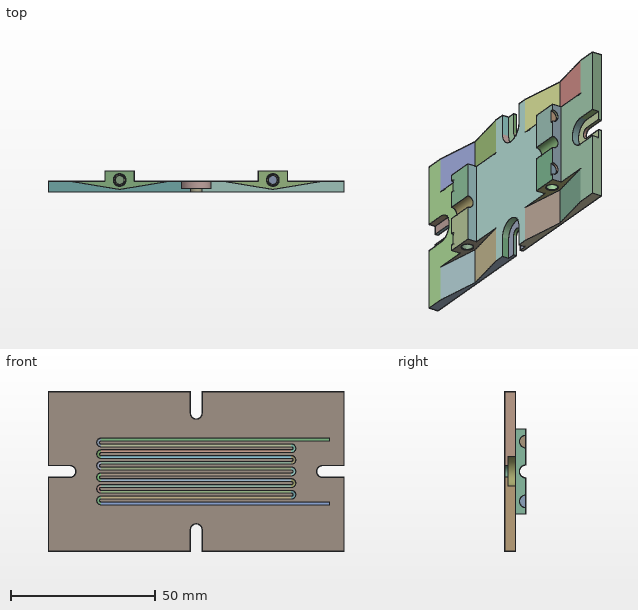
import cadquery as cq

length = 102.5
height = 55.4
plate_thickness = 3.8
total_depth = 7.4

slot_diameter = 4.0
slot_recess_diameter = 10.2
slot_centre_inset = 7.5
slot_recess_depth = 2.6

channel_width = 1.0
channel_pitch = 2 * channel_width
channel_rows = 12
channel_half_run = 33.0
tail_end_x = 46.1

manifold_x = 26.5
manifold_width = 10.2
manifold_height = 29.5

relief_half_width = 17.4
relief_depth = 2.9

port_diameter = 3.1
port_depth = 6.2
port_socket_diameter = 4.0
port_socket_depth = 4.1
port_mouth_diameter = 4.4
port_y = 4.2

notch_diameter = 4.4
notch_spacing = 10.4
blind_notch_depth = 1.0


def slot_cutter(diameter, y_start, depth):
    """Round-ended cutters running in from the middle of all four edges."""
    cutters = cq.Workplane("XY")
    for angle in (0, 90, 180, 270):
        half_size = length / 2 if angle % 180 == 0 else height / 2
        centre = half_size - slot_centre_inset
        straight = (
            cq.Workplane("XY")
            .box(slot_centre_inset, depth, diameter, centered=(False, False, True))
            .translate((centre, y_start, 0))
        )
        round_end = (
            cq.Workplane("XZ", origin=(centre, y_start, 0)).circle(diameter / 2).extrude(-depth)
        )
        cutters = cutters.add(straight.union(round_end).rotate((0, 0, 0), (0, 1, 0), angle))
    return cutters.combine()


def row_z(row):
    """Height of a channel row, counted from the top."""
    return ((channel_rows - 1) / 2 - row) * channel_pitch


def straight_channel(x_start, x_end, z):
    """Round cutter centred on the front face, leaving a half-round groove."""
    return (
        cq.Workplane("YZ", origin=(x_start, 0, z)).circle(channel_width / 2).extrude(x_end - x_start)
    )


def channel_bend(side, z_middle):
    """Half-turn joining two rows on the left (side = -1) or right (side = 1)."""
    bend_radius = channel_pitch / 2
    centre = cq.Vector(0, 0, 0)
    ring = cq.Workplane(
        cq.Solid.makeTorus(bend_radius, channel_width / 2, centre, cq.Vector(0, 1, 0))
    )
    outer_half = (
        cq.Workplane("XY")
        .box(channel_pitch, channel_width, 2 * channel_pitch)
        .translate((side * channel_pitch / 2, 0, 0))
    )
    return ring.intersect(outer_half).translate((side * channel_half_run, 0, z_middle))


def notch(x_start, x_end, z):
    """Round cutter along X, centred on the back of the blocks."""
    return (
        cq.Workplane("YZ", origin=(x_start, total_depth, z))
        .circle(notch_diameter / 2)
        .extrude(x_end - x_start)
    )


def relief(x):
    """V-shaped cutter in the plate back, from the top of a block to the plate edge."""
    return (
        cq.Workplane("XY", origin=(x, plate_thickness, manifold_height / 2))
        .polyline([(-relief_half_width, 0), (relief_half_width, 0), (0, -relief_depth)])
        .close()
        .extrude((height - manifold_height) / 2)
    )


def manifold_block(x):
    block_depth = total_depth - plate_thickness
    return (
        cq.Workplane("XY")
        .box(manifold_width, block_depth, manifold_height, centered=(True, False, True))
        .translate((x, plate_thickness, 0))
    )


def port(x):
    """Blind hole into the top of a block, with a wider socket and a 45 degree chamfered mouth."""
    block_top = cq.Workplane("XY", origin=(x, port_y, manifold_height / 2))
    bore = block_top.circle(port_diameter / 2).extrude(-port_depth)
    socket = block_top.circle(port_socket_diameter / 2).extrude(-port_socket_depth)
    mouth = cq.Workplane(
        cq.Solid.makeCone(
            port_mouth_diameter / 2,
            port_socket_diameter / 2,
            (port_mouth_diameter - port_socket_diameter) / 2,
            cq.Vector(x, port_y, manifold_height / 2),
            cq.Vector(0, 0, -1),
        )
    )
    return bore.union(socket).union(mouth)


body = cq.Workplane("XY").box(length, plate_thickness, height, centered=(True, False, True))

for block_x in (-manifold_x, manifold_x):
    top_relief = relief(block_x)
    top_port = port(block_x)
    body = body.cut(top_relief).cut(top_relief.mirror("XY"))
    body = body.union(manifold_block(block_x))
    body = body.cut(top_port).cut(top_port.mirror("XY"))

block_outer_x = manifold_x + manifold_width / 2
body = body.cut(notch(-block_outer_x, block_outer_x, 0))
for z in (-notch_spacing, notch_spacing):
    body = body.cut(notch(-block_outer_x, -block_outer_x + blind_notch_depth, z))
    body = body.cut(notch(block_outer_x - blind_notch_depth, block_outer_x, z))

body = body.cut(slot_cutter(slot_diameter, 0, plate_thickness))
body = body.cut(
    slot_cutter(slot_recess_diameter, plate_thickness - slot_recess_depth, slot_recess_depth)
)

for row in range(channel_rows):
    is_tail = row in (0, channel_rows - 1)
    x_end = tail_end_x if is_tail else channel_half_run
    body = body.cut(straight_channel(-channel_half_run, x_end, row_z(row)))
for row in range(channel_rows - 1):
    side = -1 if row % 2 == 0 else 1
    body = body.cut(channel_bend(side, (row_z(row) + row_z(row + 1)) / 2))

result = body